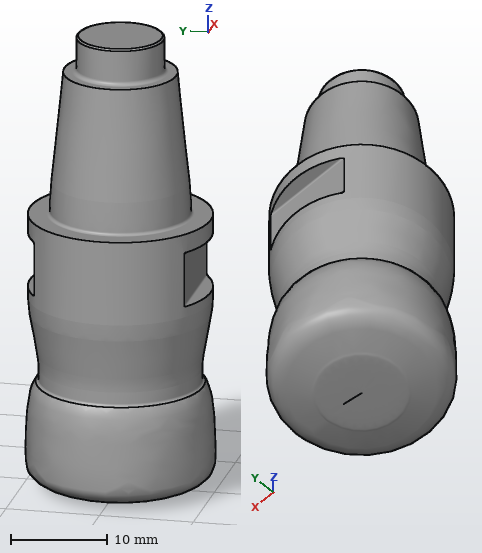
import cadquery as cq

total_height = 49.4
split_height = 11.5

pin_radius = 9.2 / 2
pin_chamfer = 0.2
pin_root_fillet = 0.45

taper_top_height = 45.45
taper_top_radius = 5.97
taper_base_height = 33.45
taper_base_radius = 7.2
skirt_radius = 7.35
skirt_root_fillet = 0.35

collar_radius = 19.3 / 2
collar_top_height = 29.87
collar_bottom_height = 20.8
flat_offset = 8.0
flat_bottom_height = 21.92
flat_height = 5.95
flat_corner_radius = 0.2

waist_cone_top_height = 18.95
waist_cone_top_radius = 9.5
waist_cone_bottom_height = 14.5
waist_cone_bottom_radius = 8.7
waist_radius = 8.55
waist_top_height = 13.05
waist_flare = 0.3

cap_top_radius = waist_radius + waist_flare
cap_shoulder_height = 10.0
cap_shoulder_radius = 9.5
cap_side_height = 6.9
cap_side_radius = 9.85
cap_belly_radius = 9.95
cap_belly_height = 3.45
cap_rim_height = 2.15
cap_rim_radius = 9.8
cap_dome_edge_height = 1.4
cap_dome_edge_radius = 9.2
cap_dome_radius = 5.55
cap_dome_height = 0.25

CAP_START_DIRECTION = (1, -1)
CAP_END_DIRECTION = (-1, 0)


def revolve_profile(profile):
    """Turn a closed (radius, height) profile about the Z axis."""
    return profile.close().revolve(360, (0, 0, 0), (0, 1, 0))


def make_housing_blank():
    skirt_root_height = collar_top_height + skirt_root_fillet
    flare_height = split_height + waist_flare
    pin_root_height = taper_top_height + pin_root_fillet
    profile = (
        cq.Workplane("XZ")
        .moveTo(0, total_height)
        .lineTo(pin_radius - pin_chamfer, total_height)
        .lineTo(pin_radius, total_height - pin_chamfer)
        .lineTo(pin_radius, pin_root_height)
        .tangentArcPoint((pin_radius + pin_root_fillet, taper_top_height), relative=False)
        .lineTo(taper_top_radius, taper_top_height)
        .lineTo(taper_base_radius, taper_base_height)
        .tangentArcPoint((skirt_radius, skirt_root_height), relative=False)
        .radiusArc((skirt_radius + skirt_root_fillet, collar_top_height), -skirt_root_fillet)
        .lineTo(collar_radius, collar_top_height)
        .lineTo(collar_radius, collar_bottom_height)
        .tangentArcPoint((waist_cone_top_radius, waist_cone_top_height), relative=False)
        .lineTo(waist_cone_bottom_radius, waist_cone_bottom_height)
        .tangentArcPoint((waist_radius, waist_top_height), relative=False)
        .lineTo(waist_radius, flare_height)
        .tangentArcPoint((cap_top_radius, split_height), relative=False)
        .lineTo(0, split_height)
    )
    return revolve_profile(profile)


def make_flat_cutter(side):
    """Block that removes one wrench flat; side is +1 or -1 along Y."""
    cut_depth = collar_radius - flat_offset
    return (
        cq.Workplane("XY")
        .box(2 * collar_radius, 2 * cut_depth, flat_height)
        .translate((0, side * (flat_offset + cut_depth), flat_bottom_height + flat_height / 2))
        .faces("<Y" if side > 0 else ">Y")
        .edges("|X")
        .fillet(flat_corner_radius)
    )


def make_housing():
    housing = make_housing_blank()
    for side in (-1, 1):
        housing = housing.cut(make_flat_cutter(side))
    return housing


def make_end_cap():
    profile = (
        cq.Workplane("XZ")
        .moveTo(0, split_height)
        .lineTo(cap_top_radius, split_height)
        .spline(
            [
                (cap_shoulder_radius, cap_shoulder_height),
                (cap_side_radius, cap_side_height),
                (cap_belly_radius, cap_belly_height),
                (cap_rim_radius, cap_rim_height),
                (cap_dome_edge_radius, cap_dome_edge_height),
                (cap_dome_radius, cap_dome_height),
                (0, 0),
            ],
            tangents=[CAP_START_DIRECTION, CAP_END_DIRECTION],
            includeCurrent=True,
        )
    )
    return revolve_profile(profile)


housing = make_housing()
end_cap = make_end_cap()

result = cq.Compound.makeCompound([housing.val(), end_cap.val()])